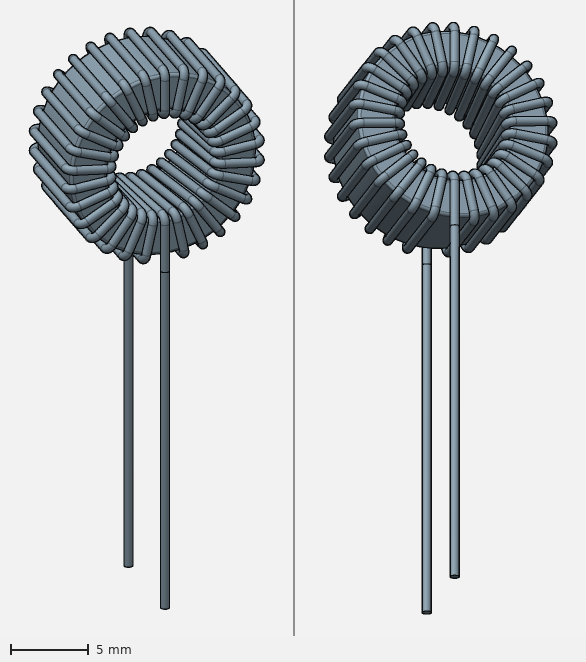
import cadquery as cq
import math

core_outer_radius = 6.35
core_inner_radius = 3.85
core_width = 6.35
core_edge_radius = 0.2

wire_radius = 0.3
bore_passes = 30
pitch_angle = 360 / bore_passes
first_angle = 180

lead_end_z = -31.15
left_joint_z = -7.15
right_joint_z = -7.37

face_x = core_width / 2 + wire_radius
bore_radius = core_inner_radius - wire_radius
rim_radius = core_outer_radius + wire_radius
bend_radius = core_edge_radius + wire_radius


def on_core(x, radius, angle):
    """Point at a radius and an angle about the core axis, measured from +Z toward -Y."""
    turn = math.radians(angle)
    return cq.Vector(x, -radius * math.sin(turn), radius * math.cos(turn))


def centreline(corners):
    """Open wire path through the corners, with every inner corner rounded by the bend radius."""
    edges = []
    start = corners[0]
    for before, corner, after in zip(corners, corners[1:], corners[2:]):
        back = (before - corner).normalized()
        ahead = (after - corner).normalized()
        half_angle = back.getAngle(ahead) / 2
        setback = bend_radius / math.tan(half_angle)
        bisector = (back + ahead).normalized()
        bend_start = corner + back * setback
        bend_middle = corner + bisector * (bend_radius / math.sin(half_angle) - bend_radius)
        bend_end = corner + ahead * setback
        edges.append(cq.Edge.makeLine(start, bend_start))
        edges.append(cq.Edge.makeThreePointArc(bend_start, bend_middle, bend_end))
        start = bend_end
    edges.append(cq.Edge.makeLine(start, corners[-1]))
    return cq.Wire.assembleEdges(edges)


def make_core():
    """Ring about the X axis with all four edges rounded."""
    face = cq.Workplane("YZ", origin=(-core_width / 2, 0, 0))
    ring = face.circle(core_outer_radius).circle(core_inner_radius)
    return ring.extrude(core_width).edges().fillet(core_edge_radius)


def make_winding():
    """One wire: straight over the rim, and slanting by one pitch on each pass through the bore."""
    corners = [cq.Vector(-face_x, 0, left_joint_z)]
    for number in range(bore_passes):
        angle = first_angle + number * pitch_angle
        next_angle = angle + pitch_angle
        if number > 0:
            corners.append(on_core(-face_x, rim_radius, angle))
        corners.append(on_core(-face_x, bore_radius, angle))
        corners.append(on_core(face_x, bore_radius, next_angle))
        if number < bore_passes - 1:
            corners.append(on_core(face_x, rim_radius, next_angle))
    corners.append(cq.Vector(face_x, 0, right_joint_z))
    section = cq.Workplane("XY", origin=corners[0].toTuple()).circle(wire_radius)
    return section.sweep(cq.Workplane(obj=centreline(corners)))


def make_lead(x, joint_z):
    """Straight round lead that continues the winding wire down from its joint."""
    section = cq.Workplane("XY", origin=(x, 0, lead_end_z)).circle(wire_radius)
    return section.extrude(joint_z - lead_end_z)


core = make_core()
winding = make_winding()
left_lead = make_lead(-face_x, left_joint_z)
right_lead = make_lead(face_x, right_joint_z)

result = cq.Compound.makeCompound([core.val(), winding.val(), left_lead.val(), right_lead.val()])